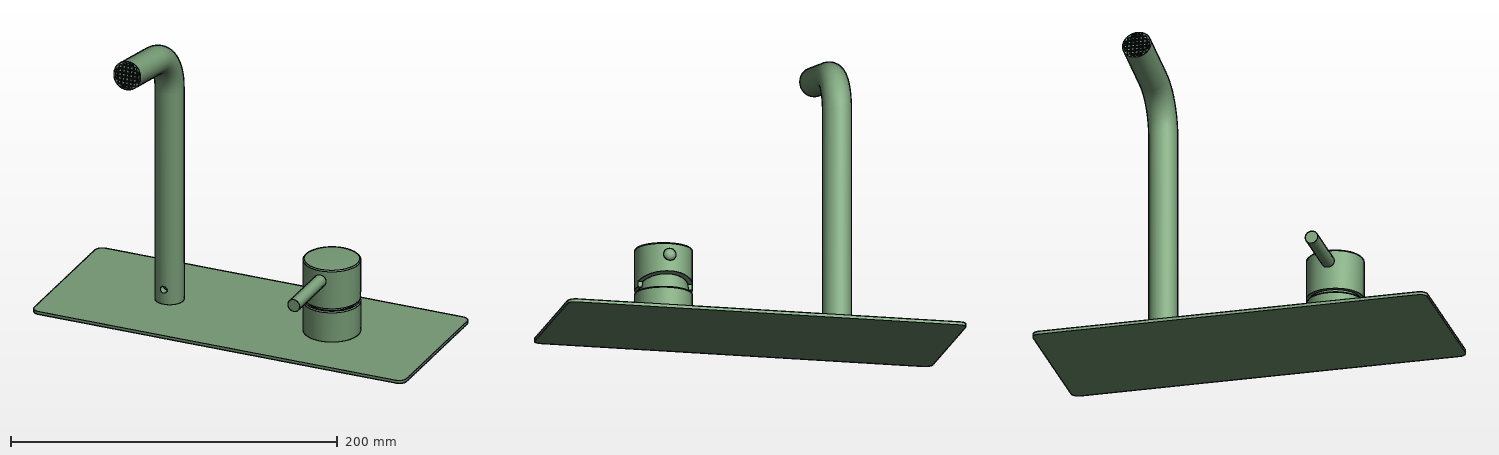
import cadquery as cq
import math

plate_length = 250.0
plate_width = 100.0
plate_thickness = 2.0
plate_corner_radius = 5.0

spout_x = -54.5
tube_diameter = 18.0
bend_start_z = 144.8
bend_radius = 28.8
outlet_rise = 10.0
outlet_length = 40.0

screw_hole_diameter = 4.5
screw_hole_depth = 5.0
screw_hole_z = 11.8

mesh_diameter = 16.0
mesh_pitch = 2.5
mesh_opening = 2.0
mesh_depth = 1.0

mixer_x = 54.5
mixer_diameter = 35.5
base_top_z = 22.5
handle_gap = 2.0
edge_chamfer = 0.8
neck_bottom_diameter = 31.5
neck_top_diameter = 28.0
neck_top_z = 35.0

cap_top_z = 50.8
dome_height = 0.5
relief_inner_y = 5.0
relief_inner_z = 28.0
relief_outer_z = 32.2
rod_diameter = 8.0
rod_front_y = -56.8
rod_back_y = 19.5
rod_back_fillet = 2.8
rod_z = 42.8

tube_radius = tube_diameter / 2
mixer_radius = mixer_diameter / 2
cap_bottom_z = base_top_z + handle_gap


def make_plate():
    return (
        cq.Workplane("XY")
        .box(plate_length, plate_width, plate_thickness, centered=(True, True, False))
        .edges("|Z")
        .fillet(plate_corner_radius)
    )


def outlet_plane():
    """Plane of the spout's open end, facing outwards."""
    rise = math.radians(outlet_rise)
    end_y = -bend_radius * (1 - math.sin(rise)) - outlet_length * math.cos(rise)
    end_z = bend_start_z + bend_radius * math.cos(rise) + outlet_length * math.sin(rise)
    return cq.Plane(
        origin=(spout_x, end_y, end_z),
        xDir=(1, 0, 0),
        normal=(0, -math.cos(rise), math.sin(rise)),
    )


def make_spout():
    upright = (
        cq.Workplane("XY", origin=(spout_x, 0, plate_thickness))
        .circle(tube_radius)
        .extrude(bend_start_z - plate_thickness)
    )
    bend = (
        cq.Workplane("XY", origin=(spout_x, 0, bend_start_z))
        .circle(tube_radius)
        .revolve(90 - outlet_rise, (0, -bend_radius, 0), (1, -bend_radius, 0))
    )
    outlet = cq.Workplane(outlet_plane()).circle(tube_radius).extrude(-outlet_length)
    return upright.union(bend).union(outlet)


def make_screw_hole():
    return (
        cq.Workplane("XZ", origin=(spout_x, -tube_radius + screw_hole_depth, screw_hole_z))
        .circle(screw_hole_diameter / 2)
        .extrude(tube_radius)
    )


def make_mesh_openings():
    """Square pockets on a grid, trimmed to the round rim of the screen."""
    mesh_radius = mesh_diameter / 2
    reach = int(mesh_radius / mesh_pitch)
    steps = range(-reach, reach + 1)
    centres = [(column * mesh_pitch, row * mesh_pitch) for column in steps for row in steps]
    centres_inside = [(x, y) for x, y in centres if math.hypot(x, y) < mesh_radius]
    grid = (
        cq.Workplane(outlet_plane())
        .pushPoints(centres_inside)
        .rect(mesh_opening, mesh_opening)
        .extrude(-mesh_depth)
    )
    rim = cq.Workplane(outlet_plane()).circle(mesh_radius).extrude(-mesh_depth)
    return grid.intersect(rim)


def make_mixer_base():
    base = (
        cq.Workplane("XY", origin=(mixer_x, 0, plate_thickness))
        .circle(mixer_radius)
        .extrude(base_top_z - plate_thickness)
        .faces(">Z")
        .chamfer(edge_chamfer)
    )
    return base.union(make_neck())


def make_neck():
    return (
        cq.Workplane("XY", origin=(mixer_x, 0, base_top_z))
        .circle(neck_bottom_diameter / 2)
        .workplane(offset=neck_top_z - base_top_z)
        .circle(neck_top_diameter / 2)
        .loft()
    )


def make_cap():
    """Cap turned from its half profile, with a chamfered rim and a domed top."""
    rim_radius = mixer_radius - edge_chamfer
    dome_radius = (rim_radius**2 + dome_height**2) / (2 * dome_height)
    half_rim = rim_radius / 2
    rim_z = cap_top_z - dome_height
    dome_mid_z = cap_top_z - dome_radius + math.sqrt(dome_radius**2 - half_rim**2)
    return (
        cq.Workplane("XZ", origin=(mixer_x, 0, 0))
        .moveTo(0, cap_bottom_z)
        .lineTo(mixer_radius, cap_bottom_z)
        .lineTo(mixer_radius, rim_z - edge_chamfer)
        .lineTo(rim_radius, rim_z)
        .threePointArc((half_rim, dome_mid_z), (0, cap_top_z))
        .close()
        .revolve(360, (0, 0, 0), (0, 1, 0))
    )


def make_tilt_relief():
    """Sloping cut under the back of the cap, so that the handle can tilt."""
    return (
        cq.Workplane("YZ", origin=(mixer_x, 0, 0))
        .moveTo(relief_inner_y, cap_bottom_z)
        .lineTo(mixer_radius, cap_bottom_z)
        .lineTo(mixer_radius, relief_outer_z)
        .lineTo(relief_inner_y, relief_inner_z)
        .close()
        .extrude(mixer_radius, both=True)
    )


def make_rod():
    return (
        cq.Workplane("XZ", origin=(mixer_x, rod_back_y, rod_z))
        .circle(rod_diameter / 2)
        .extrude(rod_back_y - rod_front_y)
        .faces(">Y")
        .edges()
        .fillet(rod_back_fillet)
    )


spout = make_spout().cut(make_screw_hole()).cut(make_mesh_openings())
fixed_body = make_plate().union(spout).union(make_mixer_base())
handle = make_cap().cut(make_tilt_relief()).cut(make_neck()).union(make_rod())

result = cq.Compound.makeCompound([fixed_body.val(), handle.val()])